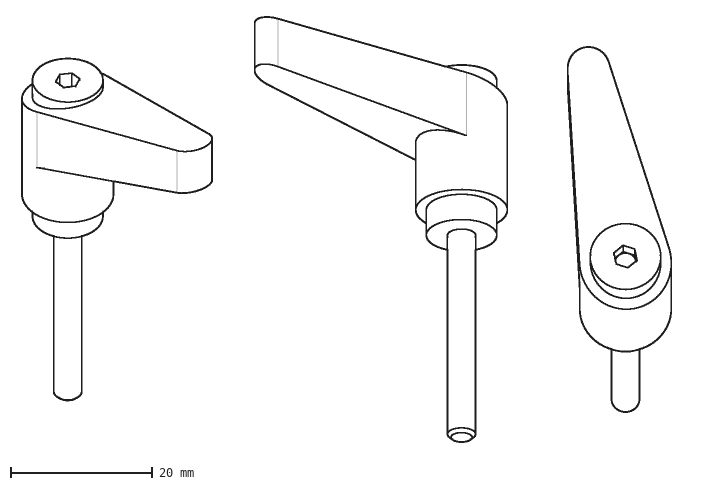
import cadquery as cq
import math

hub_radius = 6.5
tip_radius = 3.0
tip_end_x = 30.0
tip_center_x = tip_end_x - tip_radius

stud_diameter = 4.0
stud_chamfer = 0.5
collar_diameter = 10.0
collar_bottom_z = 32.0
hub_bottom_z = 36.0
button_top_z = 56.5

lever_top_z = 62.5
lever_top_angle = 15.2
lever_tip_bottom_z = 55.1
lever_bottom_angle = 19.9

socket_across_flats = 3.0
socket_depth = 2.5
drill_point_angle = 120.0


def lever_plan(height):
    """Teardrop prism: two arcs joined by their common tangent lines."""
    lean = math.asin((hub_radius - tip_radius) / tip_center_x)
    hub_x = hub_radius * math.sin(lean)
    hub_y = hub_radius * math.cos(lean)
    tip_x = tip_center_x + tip_radius * math.sin(lean)
    tip_y = tip_radius * math.cos(lean)
    return (
        cq.Workplane("XY")
        .moveTo(hub_x, hub_y)
        .threePointArc((-hub_radius, 0), (hub_x, -hub_y))
        .lineTo(tip_x, -tip_y)
        .threePointArc((tip_end_x, 0), (tip_x, tip_y))
        .close()
        .extrude(height)
    )


def side_profile(points):
    """Prism across the full lever width from an XZ outline."""
    return cq.Workplane("XZ").polyline(points).close().extrude(hub_radius, both=True)


def lever_top_at(x):
    return lever_top_z - (tip_end_x - x) * math.tan(math.radians(lever_top_angle))


def lever_bottom_at(x):
    return lever_tip_bottom_z - (tip_end_x - x) * math.tan(math.radians(lever_bottom_angle))


def make_handle():
    """Round hub with a tapering lever, cut off by one sloping top face."""
    arm_start_x = hub_radius * (hub_radius - tip_radius) / tip_center_x
    arm_band = side_profile([
        (arm_start_x, lever_bottom_at(arm_start_x)),
        (tip_end_x, lever_tip_bottom_z),
        (tip_end_x, lever_top_z),
        (arm_start_x, lever_top_at(arm_start_x)),
    ])
    hub_band = side_profile([
        (-hub_radius, hub_bottom_z),
        (hub_radius, hub_bottom_z),
        (hub_radius, lever_top_at(hub_radius)),
        (-hub_radius, lever_top_at(-hub_radius)),
    ])
    arm = lever_plan(lever_top_z).intersect(arm_band)
    hub = cq.Workplane("XY").circle(hub_radius).extrude(lever_top_z).intersect(hub_band)
    return hub.union(arm)


def make_core():
    """Plain stud, collar and release button on the clamping axis."""
    stud = (
        cq.Workplane("XY")
        .circle(stud_diameter / 2)
        .extrude(hub_bottom_z)
        .faces("<Z")
        .chamfer(stud_chamfer)
    )
    collar = (
        cq.Workplane("XY", origin=(0, 0, collar_bottom_z))
        .circle(collar_diameter / 2)
        .extrude(button_top_z - collar_bottom_z)
    )
    return stud.union(collar)


def make_socket():
    """Hexagon socket with a conical drill point at its bottom."""
    across_corners = socket_across_flats / math.cos(math.pi / 6)
    floor_z = button_top_z - socket_depth
    hexagon = (
        cq.Workplane("XY", origin=(0, 0, floor_z))
        .polygon(6, across_corners)
        .extrude(socket_depth)
    )
    point_radius = socket_across_flats / 2
    point_depth = point_radius / math.tan(math.radians(drill_point_angle / 2))
    drill_point = cq.Workplane(
        cq.Solid.makeCone(point_radius, 0, point_depth, cq.Vector(0, 0, floor_z), cq.Vector(0, 0, -1))
    )
    return hexagon.union(drill_point)


result = make_handle().union(make_core()).cut(make_socket())